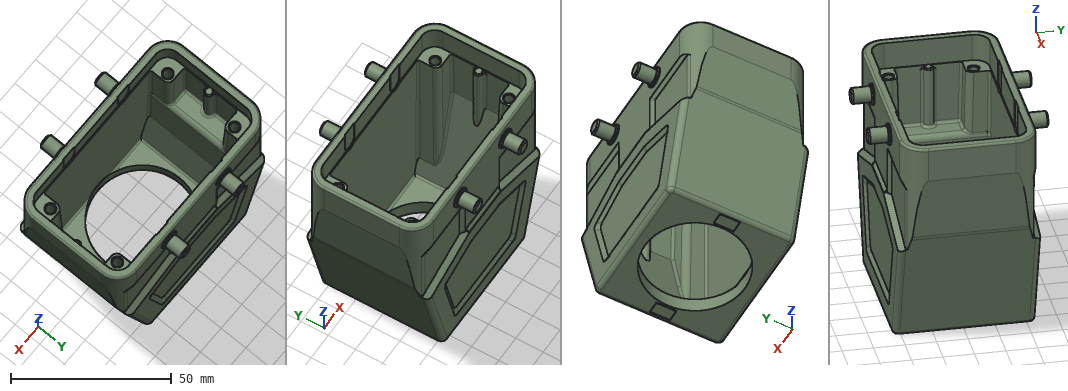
import cadquery as cq
import math

height = 72.0
pad_height = 0.3
bottom_z = pad_height

rim_length = 73.0
rim_width = 43.0
rim_corner_radius = 7.7
rim_edge_radius = 0.7
wall = 2.9
rim_side_wall = 2.85
shell_bottom_z = 32.85

taper_start_z = 60.8
kink_z = 40.0
kink_half_length = 34.8
kink_radius = 5.85
bottom_half_length = 24.15
end_slope = (kink_half_length - bottom_half_length) / (kink_z - bottom_z)

block_width = 45.25
block_ridge_z = 44.25
block_ridge_half = 9.4
block_shoulder_slope = 0.36
ridge_bevel = 1.45
peak_z = 44.25
peak_half = 9.3
shoulder_bevel = 1.4
block_side_radius = 2.05
block_bottom_radius = 1.6

panel_depth = 1.0
panel_bevel = 1.75
panel_top_z = 36.9
panel_top_half = 8.2
panel_shoulder_half = 24.1
panel_shoulder_z = 31.45
panel_bottom_z = 7.6
panel_corner_radius = 3.65

pocket_depth = 1.0
pocket_bevel = 1.7
pocket_top_z = 58.9
web_half = 10.0
pocket_corner_radius = 0.7
breakout_radius = 2.2

pin_x = 13.2
pin_z = 65.8
pin_tip_y = 28.51
pin_radius = 2.55
pin_chamfer = 0.5
flange_radius = 3.4
flange_top_y = 22.35
flange_chamfer = 0.45

ledge_z = 63.0
ledge_step = 0.3
floor_z = 5.85
cavity_end_x = 32.9
cavity_floor_width = 35.05
shelf_z = 42.35
shelf_edge_x = -25.0
shelf_knee_x = -24.15
shelf_knee_z = 20.1
shelf_floor_x = -20.1
shelf_edge_radius = 2.0
shelf_rim_radius = 0.95
floor_edge_radius = 0.8
entry_radius = 17.8
pin_seat_width = 5.4
pin_seat_depth = 0.3
pin_seat_drop = 9.6

post_edge_x = 25.9
post_edge_y = 10.8
post_corner_radius = 2.2
post_draft = 1.5
root_radius = 0.9
root_min_height = 14.6
screw_x = 28.5
screw_y = 13.5
screw_radius = 1.5
screw_chamfer = 0.4
screw_depth = 10.95
rib_x = 32.3
rib_foot_z = 29.2
rib_radius = 1.6
rib_tip_chamfer = 0.45

pad_inner_x = 18.4
pad_outer_x = 22.6
pad_width = 7.1

tolerance = 0.04

quadrants = [(x, y) for x in (-1, 1) for y in (-1, 1)]


def end_half_length(z):
    """Half length of the lower block at a height."""
    return bottom_half_length + end_slope * (z - bottom_z)


def mirrored(points):
    """Close a right-hand outline, listed bottom to top, with its mirror image."""
    return points + [(-x, z) for x, z in reversed(points)]


def slab(points, half_width):
    """Outline in XZ extruded equally to both sides of Y = 0."""
    return cq.Workplane("XZ").polyline(points).close().extrude(half_width, both=True)


def bevelled_cutter(points, surface_y, depth, bevel, corner_radius):
    """Cutter entering the -Y face, narrowing by the bevel over its depth."""
    angle = math.degrees(math.atan2(bevel, depth))
    plane = cq.Workplane("XZ", origin=(0, -surface_y, 0))
    cutter = plane.polyline(points).close().extrude(-depth, taper=angle)
    corners = cutter.edges().filter(lambda edge: edge.BoundingBox().ylen > depth / 2)
    return corners.fillet(corner_radius)


def make_shell():
    """Rounded upper shell with tapering ends and four finger pockets."""
    shell = (
        cq.Workplane("XY", origin=(0, 0, shell_bottom_z))
        .rect(rim_length, rim_width)
        .extrude(height - shell_bottom_z)
        .edges("|Z").fillet(rim_corner_radius)
        .faces(">Z").edges().fillet(rim_edge_radius)
    )
    ends = slab(
        mirrored([
            (bottom_half_length, bottom_z),
            (kink_half_length, kink_z),
            (rim_length / 2, taper_start_z),
            (rim_length / 2, height),
        ]),
        rim_width,
    )
    for side in (-1, 1):
        kink = cq.selectors.NearestToPointSelector((side * kink_half_length, 0, kink_z))
        ends = ends.edges(kink).fillet(kink_radius)
    shell = shell.intersect(ends)
    pocket = bevelled_cutter(
        [
            (web_half, shell_bottom_z - pocket_bevel),
            (rim_length, shell_bottom_z - pocket_bevel),
            (rim_length, pocket_top_z),
            (web_half, pocket_top_z),
        ],
        rim_width / 2, pocket_depth, pocket_bevel, pocket_corner_radius,
    )
    pocket = pocket.union(pocket.mirror("YZ"))
    shell = shell.cut(pocket).cut(pocket.mirror("XZ"))

    floor_y = rim_width / 2 - pocket_depth
    centre_x = rim_length / 2 - rim_corner_radius
    centre_y = rim_width / 2 - rim_corner_radius
    breakout_x = centre_x + math.sqrt(rim_corner_radius ** 2 - (floor_y - centre_y) ** 2)
    breakout_z = (shell_bottom_z + pocket_top_z) / 2
    for sign_x, sign_y in quadrants:
        point = (sign_x * breakout_x, sign_y * floor_y, breakout_z)
        breakout = cq.selectors.NearestToPointSelector(point)
        shell = shell.edges(breakout).fillet(breakout_radius)
    return shell


def make_block():
    """Block whose broad faces stand proud of the shell behind a bevelled peak."""
    shoulder_x = end_half_length(block_ridge_z)
    half_width = block_width / 2
    profile = slab(
        mirrored([
            (bottom_half_length, bottom_z),
            (shoulder_x, block_ridge_z),
        ]),
        half_width,
    )
    for side in (-1, 1):
        end_direction = cq.Vector(side * end_slope, 0, 1)
        profile = profile.edges(cq.selectors.ParallelDirSelector(end_direction)).fillet(block_side_radius)
    profile = profile.faces("<Z").edges().fillet(block_bottom_radius)

    core_half_width = rim_width / 2 - pocket_depth
    peak = mirrored([
        (rim_length, -height),
        (rim_length, peak_z - block_shoulder_slope * (rim_length - peak_half)),
        (peak_half, peak_z),
    ])
    roof_depth = half_width - core_half_width
    cap = (
        cq.Workplane("XZ", origin=(0, -core_half_width, 0))
        .polyline(peak).close()
        .extrude(roof_depth, taper=math.degrees(math.atan2(shoulder_bevel, roof_depth)))
    )
    roof = slab(peak, core_half_width).union(cap).union(cap.mirror("XZ"))

    ridge = (
        cq.Workplane("YZ")
        .polyline(mirrored([
            (half_width, bottom_z),
            (half_width, block_ridge_z - ridge_bevel),
            (rim_width / 2, block_ridge_z),
        ]))
        .close()
        .extrude(block_ridge_half, both=True)
    )
    block = profile.intersect(roof.union(ridge))

    panel = bevelled_cutter(
        mirrored([
            (panel_shoulder_half - end_slope * (panel_shoulder_z - panel_bottom_z), panel_bottom_z),
            (panel_shoulder_half, panel_shoulder_z),
            (panel_top_half, panel_top_z),
        ]),
        half_width, panel_depth, panel_bevel, panel_corner_radius,
    )
    return block.cut(panel).cut(panel.mirror("XZ"))


def make_posts():
    """Four drafted screw posts, one filling each corner of the cavity."""
    draft_growth = ledge_z * math.tan(math.radians(post_draft))
    span_x = rim_length / 2 - post_edge_x + draft_growth
    span_y = rim_width / 2 - post_edge_y + draft_growth
    post = (
        cq.Workplane("XY", origin=(rim_length / 2, rim_width / 2, 0))
        .rect(2 * span_x, 2 * span_y)
        .extrude(ledge_z, taper=post_draft)
        .edges().filter(lambda edge: edge.BoundingBox().zlen > ledge_z / 2)
        .fillet(post_corner_radius)
    )
    posts = post.union(post.mirror("YZ"))
    return posts.union(posts.mirror("XZ"))


def is_root_edge(edge):
    """Tall edge of the chamber lying on one of its outer walls."""
    box = edge.BoundingBox()
    on_end_wall = max(-box.xmin, box.xmax) > cavity_end_x - tolerance
    on_side_wall = max(-box.ymin, box.ymax) > cavity_floor_width / 2 + tolerance
    return box.zlen > root_min_height and (on_end_wall or on_side_wall)


def is_shelf_rim_edge(edge):
    """Edge around the shelf, apart from the rounded drop into the chamber."""
    box = edge.BoundingBox()
    on_shelf = max(abs(box.zmin - shelf_z), abs(box.zmax - shelf_z)) < tolerance
    return on_shelf and box.xmin < shelf_edge_x - shelf_edge_radius


def make_cavity():
    """Plain rim opening above a chamber that is shaped around posts and ribs."""
    rim_hole = (
        cq.Workplane("XY", origin=(0, 0, ledge_z))
        .rect(rim_length - 2 * wall, rim_width - 2 * rim_side_wall)
        .extrude(height - ledge_z)
        .edges("|Z").fillet(rim_corner_radius - wall)
    )
    floor_x = end_half_length(floor_z) - wall
    upright_z = floor_z + (cavity_end_x - floor_x) / end_slope
    top_x = rim_length / 2 - wall - ledge_step
    chamber = slab(
        [
            (shelf_floor_x, floor_z),
            (floor_x, floor_z),
            (cavity_end_x, upright_z),
            (top_x, ledge_z),
            (-top_x, ledge_z),
            (-cavity_end_x, shelf_z),
            (shelf_edge_x, shelf_z),
            (shelf_knee_x, shelf_knee_z),
        ],
        rim_width / 2,
    )
    shelf_edge = cq.selectors.NearestToPointSelector((shelf_edge_x, 0, shelf_z))
    chamber = chamber.edges(shelf_edge).fillet(shelf_edge_radius)
    top_half_width = rim_width / 2 - rim_side_wall - ledge_step
    side_walls = (
        cq.Workplane("YZ")
        .polyline(mirrored([(cavity_floor_width / 2, floor_z), (top_half_width, ledge_z)]))
        .close()
        .extrude(rim_length / 2, both=True)
    )
    chamber = chamber.intersect(side_walls)
    chamber = chamber.faces("<Z").edges().fillet(floor_edge_radius)
    chamber = chamber.cut(make_posts()).cut(make_guide_ribs())
    roots = chamber.edges().filter(is_root_edge)
    chamber = roots.fillet(root_radius)
    shelf_rim = chamber.edges().filter(is_shelf_rim_edge)
    chamber = shelf_rim.fillet(shelf_rim_radius)
    return rim_hole.union(chamber)


def make_guide_ribs():
    """Half-round ribs in the middle of both end walls, running down into the sloping walls."""
    ribs = (
        cq.Workplane("XY", origin=(0, 0, rib_foot_z))
        .pushPoints([(-rib_x, 0), (rib_x, 0)])
        .circle(rib_radius)
        .extrude(ledge_z - rib_foot_z)
    )
    return ribs.faces(">Z").chamfer(rib_tip_chamfer)


def make_screw_holes():
    """Blind holes in the post tops with chamfered mouths."""
    mouth_z = ledge_z - screw_depth
    holes = (
        cq.Workplane("XY", origin=(0, 0, mouth_z))
        .rect(2 * screw_x, 2 * screw_y, forConstruction=True)
        .vertices().circle(screw_radius)
        .extrude(screw_depth)
    )
    mouths = (
        cq.Workplane("XY", origin=(0, 0, ledge_z))
        .rect(2 * screw_x, 2 * screw_y, forConstruction=True)
        .vertices().circle(screw_radius + screw_chamfer)
        .extrude(-screw_chamfer, taper=45)
    )
    return holes.union(mouths)


def make_pins():
    """Flanged locking pins, two on each broad side."""
    root_y = rim_width / 2 - wall / 2
    plane = cq.Workplane("XZ", origin=(0, -root_y, pin_z))
    centres = [(-pin_x, 0), (pin_x, 0)]
    pins = plane.pushPoints(centres).circle(pin_radius).extrude(pin_tip_y - root_y)
    pins = pins.faces("<Y").chamfer(pin_chamfer)
    flanges = plane.pushPoints(centres).circle(flange_radius).extrude(flange_top_y - root_y)
    flanges = flanges.faces("<Y").chamfer(flange_chamfer)
    pins = pins.union(flanges)
    return pins.union(pins.mirror("XZ"))


def make_pin_seats():
    """Shallow round-bottomed grooves inside the rim behind the pins."""
    inner_y = rim_width / 2 - rim_side_wall + pin_seat_depth
    seat_radius = pin_seat_width / 2
    arc_z = height - pin_seat_drop + seat_radius
    seats = cq.Workplane("XY")
    for x in (-pin_x, pin_x):
        groove = (
            cq.Workplane("XZ")
            .moveTo(x - seat_radius, height)
            .lineTo(x - seat_radius, arc_z)
            .threePointArc((x, arc_z - seat_radius), (x + seat_radius, arc_z))
            .lineTo(x + seat_radius, height)
            .close()
            .extrude(inner_y, both=True)
        )
        seats = seats.union(groove)
    return seats


def make_foot_pads():
    """Low pads under the bottom face, either side of the cable entry."""
    centre_x = (pad_inner_x + pad_outer_x) / 2
    return (
        cq.Workplane("XY")
        .pushPoints([(-centre_x, 0), (centre_x, 0)])
        .rect(pad_outer_x - pad_inner_x, pad_width)
        .extrude(floor_z / 2)
    )


cable_entry = cq.Workplane("XY").circle(entry_radius).extrude(floor_z + floor_edge_radius)

result = (
    make_shell()
    .union(make_block())
    .union(make_pins())
    .union(make_foot_pads())
    .cut(make_cavity())
    .cut(make_screw_holes())
    .cut(make_pin_seats())
    .cut(cable_entry)
)